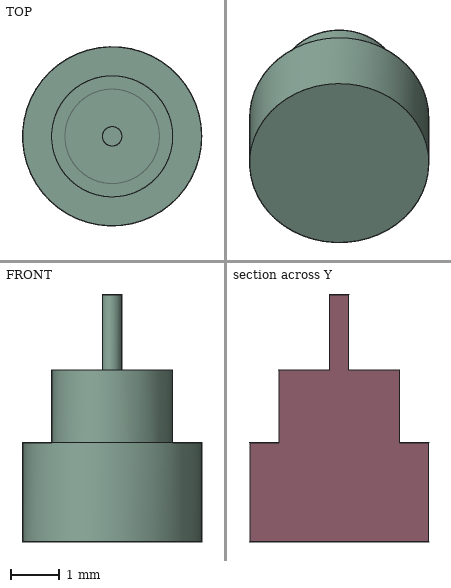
import cadquery as cq

total_height = 5.1
base_diameter = 3.7
collar_diameter = 2.5
insulator_diameter = 1.95
pin_diameter = 0.4

base_height = 2.05
collar_height = 1.5
collar_top = base_height + collar_height


def cylinder(diameter, bottom, top):
    """Vertical cylinder on the Z axis between two heights."""
    return cq.Workplane("XY").workplane(offset=bottom).circle(diameter / 2).extrude(top - bottom)


base = cylinder(base_diameter, 0, base_height)
collar = cylinder(collar_diameter, base_height, collar_top)
insulator = cylinder(insulator_diameter, base_height, collar_top)
shell = base.union(collar).cut(insulator)

pin = cylinder(pin_diameter, collar_top, total_height)

result = shell.union(insulator, clean=False).union(pin, clean=False)